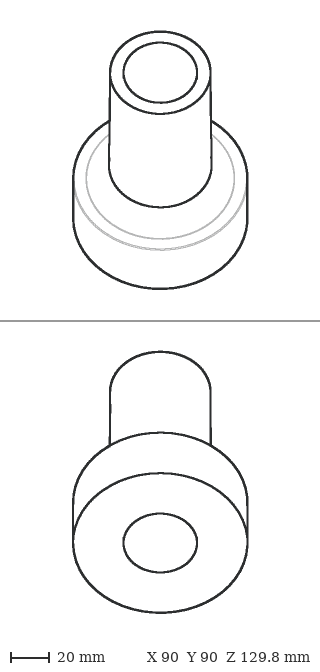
import cadquery as cq

total_height = 129.8
collar_height = 35.2
cone_top = 46.9

collar_diameter = 90.0
spigot_root_diameter = 53.0
spigot_tip_diameter = 51.9
bore_diameter = 37.9

cone_diameter = spigot_root_diameter + 2 * (cone_top - collar_height)

edge_radius = 0.5

body = (
    cq.Workplane("XZ")
    .lineTo(collar_diameter / 2, 0)
    .lineTo(collar_diameter / 2, collar_height)
    .lineTo(cone_diameter / 2, collar_height)
    .lineTo(spigot_root_diameter / 2, cone_top)
    .lineTo(spigot_tip_diameter / 2, total_height)
    .lineTo(0, total_height)
    .close()
    .revolve(360, (0, 0), (0, 1))
)

collar_face_middle = (0, 0, collar_height)
body = body.faces(cq.selectors.NearestToPointSelector(collar_face_middle)).edges().fillet(edge_radius)

bore = cq.Workplane("XY").circle(bore_diameter / 2).extrude(total_height)

result = body.cut(bore)